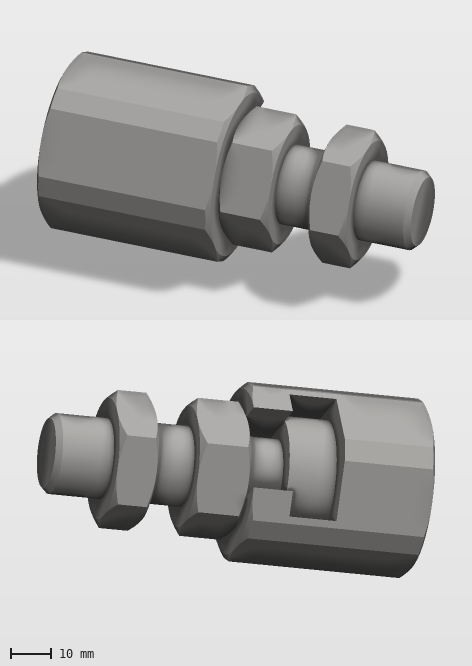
import cadquery as cq
import math


OVERALL_LENGTH = 93.5
HEX_FLATS_TO_CORNERS = math.cos(math.radians(30))
CHAMFER_ANGLE = 30.0

THREAD_CORE_DIAMETER = 17.29

HOUSING_LENGTH = 45.5
HOUSING_FLATS = 41.0
HOUSING_CORNER_FLATS = 44.0
HEAD_SLOT_START = 23.5
HEAD_SLOT_LENGTH = 12.0
HEAD_SLOT_WIDTH = 32.0
NECK_SLOT_WIDTH = 21.0

STUD_DIAMETER = 20.0
STUD_TIP_LENGTH = 1.5
HEAD_DIAMETER = 29.5
NECK_DIAMETER = 17.8
STUD_HEX_LENGTH = 13.0

WRENCH_FLATS = 30.0
NUT_START = 69.0
NUT_LENGTH = 10.0

HEAD_SLOT_END = HEAD_SLOT_START + HEAD_SLOT_LENGTH
STUD_HEX_END = HOUSING_LENGTH + STUD_HEX_LENGTH


def cylinder(start, length, diameter):
    """Cylinder on the X axis."""
    return cq.Workplane("YZ", origin=(start, 0, 0)).circle(diameter / 2).extrude(length)


def hexagon(start, length, flats):
    """Hexagonal prism along X with two corners on the Y axis."""
    across_corners = flats / HEX_FLATS_TO_CORNERS
    return cq.Workplane("YZ", origin=(start, 0, 0)).polygon(6, across_corners).extrude(length)


def chamfer_envelope(start, length, face_diameter):
    """Round body whose conical ends cut the corner chamfers of a hexagonal prism."""
    face_radius = face_diameter / 2
    outer_radius = face_radius / HEX_FLATS_TO_CORNERS
    depth = (outer_radius - face_radius) * math.tan(math.radians(CHAMFER_ANGLE))
    end = start + length
    return (
        cq.Workplane("XY")
        .moveTo(start, 0)
        .lineTo(start, face_radius)
        .lineTo(start + depth, outer_radius)
        .lineTo(end - depth, outer_radius)
        .lineTo(end, face_radius)
        .lineTo(end, 0)
        .close()
        .revolve(360, (0, 0, 0), (1, 0, 0))
    )


def chamfered_hexagon(start, length, flats):
    return hexagon(start, length, flats).intersect(chamfer_envelope(start, length, flats))


def slot(start, length, width):
    """Slot with a round bottom on the X axis, open toward +Y."""
    opening = (
        cq.Workplane("XY")
        .box(length, HOUSING_FLATS, width, centered=(False, False, True))
        .translate((start, 0, 0))
    )
    return cylinder(start, length, width).union(opening)


def make_housing():
    corner_cutter = hexagon(0, HOUSING_LENGTH, HOUSING_CORNER_FLATS).rotate((0, 0, 0), (1, 0, 0), 30)
    body = chamfered_hexagon(0, HOUSING_LENGTH, HOUSING_FLATS).intersect(corner_cutter)
    head_slot = slot(HEAD_SLOT_START, HEAD_SLOT_LENGTH, HEAD_SLOT_WIDTH)
    neck_slot = slot(HEAD_SLOT_END, HOUSING_LENGTH - HEAD_SLOT_END, NECK_SLOT_WIDTH)
    bore = cylinder(0, HEAD_SLOT_START, THREAD_CORE_DIAMETER)
    return body.cut(head_slot).cut(neck_slot).cut(bore)


def make_stud():
    head = cylinder(HEAD_SLOT_START, HEAD_SLOT_LENGTH, HEAD_DIAMETER)
    neck = cylinder(HEAD_SLOT_END, HOUSING_LENGTH - HEAD_SLOT_END, NECK_DIAMETER)
    wrench_hexagon = chamfered_hexagon(HOUSING_LENGTH, STUD_HEX_LENGTH, WRENCH_FLATS)
    tip_step = (STUD_DIAMETER - THREAD_CORE_DIAMETER) / 2
    shank = (
        cylinder(STUD_HEX_END, OVERALL_LENGTH - STUD_HEX_END, STUD_DIAMETER)
        .faces(">X")
        .edges()
        .chamfer(STUD_TIP_LENGTH, tip_step)
    )
    return head.union(neck).union(wrench_hexagon).union(shank)


def make_lock_nut():
    thread_hole = cylinder(NUT_START, NUT_LENGTH, STUD_DIAMETER)
    return chamfered_hexagon(NUT_START, NUT_LENGTH, WRENCH_FLATS).cut(thread_hole)


housing = make_housing()
stud = make_stud()
lock_nut = make_lock_nut()

result = cq.Compound.makeCompound([body.solids().val() for body in (housing, stud, lock_nut)])